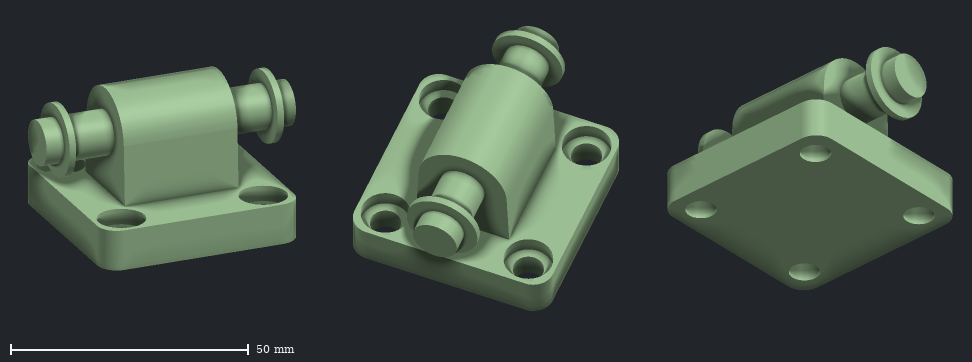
import cadquery as cq
import math

base_side = 45.0
base_height = 9.0
corner_radius = 4.4

hole_spacing = 32.45
hole_diameter = 6.6
counterbore_diameter = 10.5
counterbore_depth = 3.5

total_height = 32.0
crown_radius = 10.0
axis_height = total_height - crown_radius
block_length = 26.0
draft_angle = math.radians(2.5)

pin_length = 57.0
pin_diameter = 10.0
ring_diameter = 16.0
ring_thickness = 1.5
ring_end_distance = 4.0


def cylinder_along_y(diameter, length, y_center):
    """Cylinder on the pin axis, centred at y_center."""
    return (
        cq.Workplane("XZ", origin=(0, y_center + length / 2, axis_height))
        .circle(diameter / 2)
        .extrude(length)
    )


def make_base():
    plate = (
        cq.Workplane("XY")
        .rect(base_side, base_side)
        .extrude(base_height)
        .edges("|Z")
        .fillet(corner_radius)
    )
    return (
        plate.faces(">Z")
        .workplane()
        .rect(hole_spacing, hole_spacing, forConstruction=True)
        .vertices()
        .cboreHole(hole_diameter, counterbore_diameter, counterbore_depth)
    )


def make_block():
    tangent_x = crown_radius * math.cos(draft_angle)
    tangent_z = axis_height + crown_radius * math.sin(draft_angle)
    foot_x = tangent_x + (tangent_z - base_height) * math.tan(draft_angle)
    return (
        cq.Workplane("XZ", origin=(0, block_length / 2, 0))
        .moveTo(-foot_x, base_height)
        .lineTo(-tangent_x, tangent_z)
        .threePointArc((0, total_height), (tangent_x, tangent_z))
        .lineTo(foot_x, base_height)
        .close()
        .extrude(block_length)
    )


def make_pin():
    pin = cylinder_along_y(pin_diameter, pin_length, 0)
    ring_y = pin_length / 2 - ring_end_distance - ring_thickness / 2
    for side in (-1, 1):
        pin = pin.union(cylinder_along_y(ring_diameter, ring_thickness, side * ring_y))
    return pin


result = make_base().union(make_block()).union(make_pin())